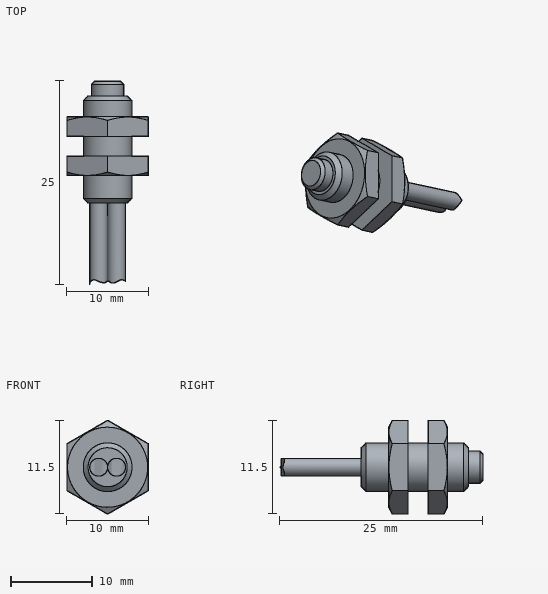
import cadquery as cq
import math

TOTAL_LENGTH = 25.0
FRONT_Y = TOTAL_LENGTH / 2
CABLE_END_Y = -TOTAL_LENGTH / 2

TIP_DIAMETER = 4.0
TIP_LENGTH = 1.8
TIP_CHAMFER = 0.4

BARREL_DIAMETER = 6.0
BARREL_LENGTH = 13.2
BARREL_CHAMFER = 0.6
BARREL_FRONT_Y = FRONT_Y - TIP_LENGTH
BARREL_BACK_Y = BARREL_FRONT_Y - BARREL_LENGTH

NUT_ACROSS_FLATS = 10.0
NUT_ACROSS_CORNERS = NUT_ACROSS_FLATS / math.cos(math.pi / 6)
NUT_THICKNESS = 2.4
NUT_GAP = 2.45
NUT_FRONT_SETBACK = 2.58
NUT_FACE_DIAMETER = 9.85
NUT_BEVEL_DEPTH = 0.45

CABLE_DIAMETER = 2.2
BREAK_PROFILE = [
    (-2.2, 0.0),
    (-1.88, 0.52),
    (-1.5, 0.55),
    (-1.12, 0.38),
    (-0.75, 0.25),
    (-0.25, 0.25),
    (0.0, 0.42),
    (0.5, 0.18),
    (0.82, 0.2),
    (1.25, 0.4),
    (1.58, 0.55),
    (1.92, 0.55),
    (2.2, 0.4),
]


def cylinder(diameter, front_y, length, x=0.0):
    """Cylinder running from front_y towards -Y."""
    return cq.Workplane("XZ", origin=(x, front_y, 0)).circle(diameter / 2).extrude(length)


def make_tip():
    tip = cylinder(TIP_DIAMETER, FRONT_Y, TIP_LENGTH)
    return tip.faces(">Y").chamfer(TIP_CHAMFER)


def make_barrel():
    barrel = cylinder(BARREL_DIAMETER, BARREL_FRONT_Y, BARREL_LENGTH)
    return barrel.faces("<Y or >Y").chamfer(BARREL_CHAMFER)


def make_nut(inner_y, outward):
    """Hex nut from its plain face at inner_y to a bevelled face; outward is +1 or -1 along Y."""
    outer_y = inner_y + outward * NUT_THICKNESS
    corner_radius = NUT_ACROSS_CORNERS / 2
    hexagon = (
        cq.Workplane("XZ", origin=(0, max(inner_y, outer_y), 0))
        .polygon(6, NUT_ACROSS_CORNERS)
        .extrude(NUT_THICKNESS)
        .rotate((0, 0, 0), (0, 1, 0), 30)
    )
    bevel_envelope = (
        cq.Workplane("XY")
        .moveTo(0, inner_y)
        .lineTo(corner_radius, inner_y)
        .lineTo(corner_radius, outer_y - outward * NUT_BEVEL_DEPTH)
        .lineTo(NUT_FACE_DIAMETER / 2, outer_y)
        .lineTo(0, outer_y)
        .close()
        .revolve(360, (0, 0, 0), (0, 1, 0))
    )
    bore = cylinder(BARREL_DIAMETER, BARREL_FRONT_Y, BARREL_LENGTH)
    return hexagon.intersect(bevel_envelope).cut(bore)


def make_cable(side):
    """Cable on the -X (side = -1) or +X (side = +1) half, with its torn end."""
    cable = cylinder(
        CABLE_DIAMETER,
        BARREL_BACK_Y,
        BARREL_BACK_Y - CABLE_END_Y,
        side * CABLE_DIAMETER / 2,
    )
    break_points = [(x, CABLE_END_Y + rise) for x, rise in BREAK_PROFILE]
    kept_region = (
        cq.Workplane("XY", origin=(0, 0, -CABLE_DIAMETER))
        .moveTo(*break_points[0])
        .spline(break_points[1:], includeCurrent=True)
        .lineTo(CABLE_DIAMETER, BARREL_BACK_Y)
        .lineTo(-CABLE_DIAMETER, BARREL_BACK_Y)
        .close()
        .extrude(2 * CABLE_DIAMETER)
    )
    return cable.intersect(kept_region)


tip = make_tip()
barrel = make_barrel()

front_nut_inner_y = BARREL_FRONT_Y - NUT_FRONT_SETBACK - NUT_THICKNESS
back_nut_inner_y = front_nut_inner_y - NUT_GAP
nut_placements = [(front_nut_inner_y, 1), (back_nut_inner_y, -1)]
nuts = [make_nut(inner_y, outward) for inner_y, outward in nut_placements]

cables = [make_cable(side) for side in (-1, 1)]

result = cq.Compound.makeCompound(
    [
        tip.solids().val(),
        barrel.solids().val(),
        *[nut.solids().val() for nut in nuts],
        *[cable.solids().val() for cable in cables],
    ]
)